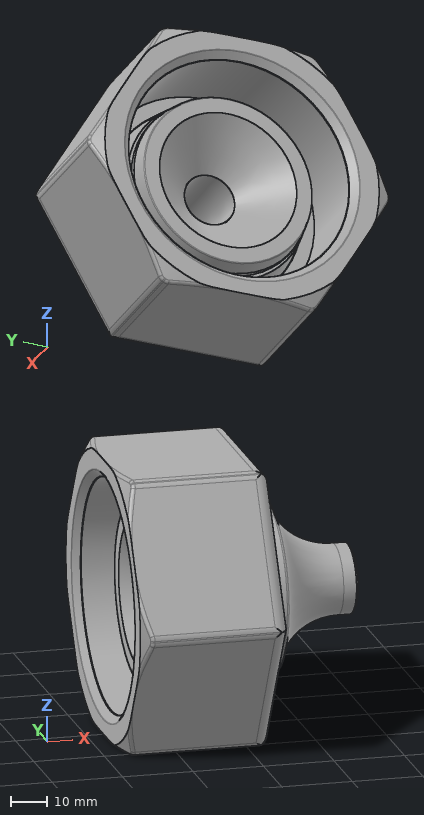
import cadquery as cq
import math


edge_break = 0.3

across_flats = 79.0
across_corners = 90.1
nut_length = 41.2
corner_round = 3.0
back_round = 4.0
lead_in_diameter = 81.95
lead_in_angle = 30.0
lead_in_round = 1.3
bore_diameter = 65.8
bore_mouth_diameter = 70.25
shoulder_x = 26.4
nut_hole_diameter = 50.25

nipple_front_x = 9.7
nipple_end_x = 70.25
face_diameter = 50.25
collar_diameter = 57.0
seat_half_angle = 12.0
stem_diameter = 49.9
stem_round = 0.7
neck_diameter = 20.0
neck_start_x = 65.65
flare_radius = 20.0
bevel_length = 0.9
bevel_depth = 1.5
funnel_diameter = 41.0
funnel_end_diameter = 15.0
outlet_diameter = 14.05

cord_diameter = 3.1
groove_front_x = 14.4
groove_floor_radius = 23.1


def revolved(outline):
    """Turn a closed outline of (x, radius) about the X axis."""
    return outline.close().revolve(360, (0, 0, 0), (1, 0, 0))


def ring_edges(body, x, diameter):
    """Circular edges about the X axis at position x with the given diameter."""
    tolerance = 0.01
    return [
        edge for edge in body.edges("%CIRCLE").vals()
        if abs(edge.Center().x - x) < tolerance and abs(edge.radius() - diameter / 2) < tolerance
    ]


def make_nut_blank():
    """Hexagon bar with turned and rounded corners and a rounded back edge."""
    blank = (
        cq.Workplane("YZ")
        .polygon(6, across_flats / math.cos(math.pi / 6))
        .extrude(nut_length)
        .intersect(cq.Workplane("YZ").circle(across_corners / 2).extrude(nut_length))
        .edges("|X").fillet(corner_round)
    )
    for turn in range(3):
        slab = (
            cq.Workplane("XY")
            .box(nut_length, 2 * across_corners, across_flats, centered=(False, True, True))
            .faces(">X").edges("|Y").fillet(back_round)
            .rotate((0, 0, 0), (1, 0, 0), 60 * turn)
        )
        blank = blank.intersect(slab)
    return blank


def turn_lead_in(blank):
    """Clear the front corners with a cone and round the edges it leaves."""
    rise = across_corners - lead_in_diameter / 2
    cone = revolved(
        cq.Workplane("XY")
        .lineTo(0, lead_in_diameter / 2)
        .lineTo(rise * math.tan(math.radians(lead_in_angle)), across_corners)
        .lineTo(nut_length, across_corners)
        .lineTo(nut_length, 0)
    )
    turned = blank.intersect(cone)
    front_edges = turned.faces("<X").edges().vals()
    corner_edges = [
        edge for edge in turned.faces("%CONE").edges().vals()
        if not any(edge.isSame(front_edge) for front_edge in front_edges)
    ]
    return turned.newObject(corner_edges).fillet(lead_in_round)


def make_nut():
    """Union nut: straight bore with a countersunk mouth, and a smaller hole for the stem."""
    mouth_depth = (bore_mouth_diameter - bore_diameter) / 2
    cavity = revolved(
        cq.Workplane("XY")
        .lineTo(0, bore_mouth_diameter / 2)
        .lineTo(mouth_depth, bore_diameter / 2)
        .lineTo(shoulder_x, bore_diameter / 2)
        .lineTo(shoulder_x, nut_hole_diameter / 2)
        .lineTo(nut_length, nut_hole_diameter / 2)
        .lineTo(nut_length, 0)
    )
    nut = turn_lead_in(make_nut_blank()).cut(cavity)
    mouth_edges = ring_edges(nut, 0, bore_mouth_diameter) + ring_edges(nut, mouth_depth, bore_diameter)
    return nut.newObject(mouth_edges).fillet(edge_break)


def make_nipple():
    """Hollow weld nipple: sealing cone, collar, stem, flare and neck, with a funnel-shaped inlet."""
    face_radius = face_diameter / 2
    collar_radius = collar_diameter / 2
    stem_radius = stem_diameter / 2
    neck_radius = neck_diameter / 2
    outlet_radius = outlet_diameter / 2
    seat_length = (collar_radius - face_radius) / math.tan(math.radians(seat_half_angle))

    flare_centre_radius = neck_radius + flare_radius
    flare_end_angle = math.asin((flare_centre_radius - stem_radius) / flare_radius)
    flare_end_x = neck_start_x - flare_radius * math.cos(flare_end_angle)
    flare_middle_angle = (flare_end_angle + math.pi / 2) / 2
    flare_middle = (
        neck_start_x - flare_radius * math.cos(flare_middle_angle),
        flare_centre_radius - flare_radius * math.sin(flare_middle_angle),
    )

    body = revolved(
        cq.Workplane("XY")
        .moveTo(nipple_front_x, 0)
        .lineTo(nipple_front_x, face_radius)
        .lineTo(nipple_front_x + seat_length, collar_radius)
        .lineTo(shoulder_x, collar_radius)
        .lineTo(shoulder_x, stem_radius)
        .lineTo(flare_end_x, stem_radius)
        .threePointArc(flare_middle, (neck_start_x, neck_radius))
        .lineTo(nipple_end_x - bevel_length, neck_radius)
        .lineTo(nipple_end_x, neck_radius - bevel_depth)
        .lineTo(nipple_end_x, 0)
    )
    body = body.newObject(ring_edges(body, flare_end_x, stem_diameter)).fillet(stem_round)
    body = body.newObject(ring_edges(body, nipple_front_x, face_diameter)).fillet(edge_break)

    funnel_end_radius = funnel_end_diameter / 2
    funnel_end_x = nipple_front_x + funnel_diameter / 2 - funnel_end_radius
    passage = revolved(
        cq.Workplane("XY")
        .moveTo(nipple_front_x, 0)
        .lineTo(nipple_front_x, funnel_diameter / 2)
        .lineTo(funnel_end_x, funnel_end_radius)
        .lineTo(nipple_end_x, outlet_radius)
        .lineTo(nipple_end_x, 0)
    )
    groove = revolved(
        cq.Workplane("XY")
        .moveTo(groove_front_x, groove_floor_radius)
        .lineTo(groove_front_x, collar_radius)
        .lineTo(groove_front_x + cord_diameter, collar_radius)
        .lineTo(groove_front_x + cord_diameter, groove_floor_radius)
    )
    return body.cut(passage).cut(groove)


def make_o_ring():
    """Round-cord ring lying in the groove of the sealing cone."""
    cord_radius = cord_diameter / 2
    return (
        cq.Workplane("XY")
        .moveTo(groove_front_x + cord_radius, groove_floor_radius + cord_radius)
        .circle(cord_radius)
        .revolve(360, (0, 0, 0), (1, 0, 0))
    )


nut = make_nut()
nipple = make_nipple()
o_ring = make_o_ring()
result = cq.Compound.makeCompound([nut.val(), nipple.val(), o_ring.val()])